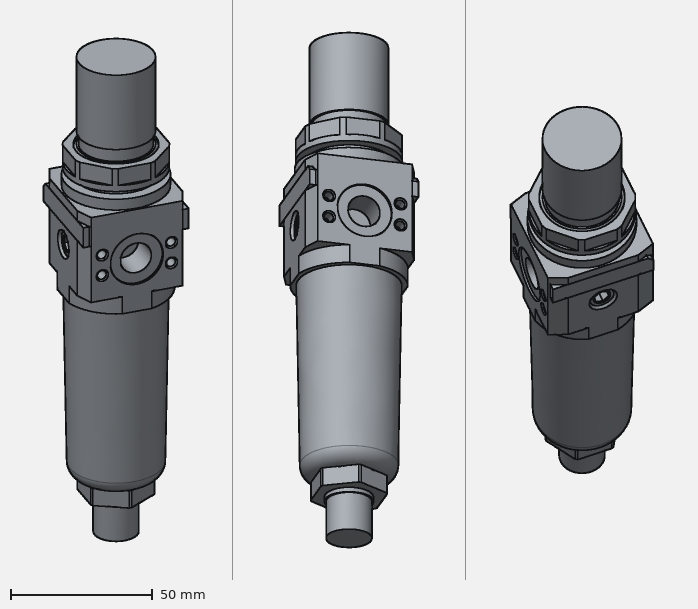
import cadquery as cq
import math


COLLAR_BOTTOM = 14.2
HEX_BOTTOM = 15.9
BOWL_BOTTOM = 22.7
BOWL_TOP = 97.3
BLOCK_BOTTOM = 104.1
BLOCK_TOP = 138.0
BONNET_TOP = 142.3
NUT_BOTTOM = 145.2
FLATS_BOTTOM = 147.6
NUT_TOP = 154.2
KNOB_BOTTOM = 159.3
TOTAL_HEIGHT = 189.0

BLOCK_WIDTH = 40.0
HALF_WIDTH = BLOCK_WIDTH / 2
CORNER_CUT_X = 6.6
CORNER_CUT_Y = 2.6
SKIRT_RADIUS = 20.8

BONNET_RADIUS = 19.3
SLEEVE_RADIUS = 15.1
SLEEVE_CHAMFER = 1.1
NUT_RADIUS = 18.9
NUT_ACROSS_FLATS = 35.7
NUT_SIDES = 8
KNOB_RADIUS = 14.0
NECK_RADIUS = 13.2

BOWL_TOP_RADIUS = 18.7
BOWL_BOTTOM_RADIUS = 17.4
BOWL_FILLET = 5.7
HEX_SIDES = 6
HEX_ACROSS_FLATS = 24.4
HEX_CORNER_RADIUS = 13.8
COLLAR_RADIUS = 8.7
DRAIN_RADIUS = 8.1

PORT_HEIGHT = 118.1
PORT_RADIUS = 5.9
PORT_DEPTH = 13.2
PORT_RECESS_RADIUS = 10.0
PORT_RECESS_DEPTH = 1.0
BOLT_SPACING_Y = 26.3
BOLT_SPACING_Z = 8.1
BOLT_RADIUS = 1.7
BOLT_RIM_RADIUS = 2.3
BOLT_DEPTH = 5.7
DRILL_POINT_ANGLE = 118.0
PLUG_RIM_RADIUS = 5.3
PLUG_SEAT_RADIUS = 4.5
PLUG_SEAT_DEPTH = 1.1
PLUG_MOUTH_RADIUS = 3.2
PLUG_MOUTH_DEPTH = 1.5
SOCKET_ACROSS_FLATS = 5.1
SOCKET_DEPTH = 5.7
SOCKET_TURN = 10.0

PLATE_LENGTH = 38.4
PLATE_HEIGHT = 8.0
PLATE_THICKNESS = 2.8
PLATE_TOP = 134.0
PLATE_CORNER_CUT = 2.0


def disc(radius, bottom, top):
    """Cylinder on the Z axis between two heights."""
    return cq.Workplane("XY", origin=(0, 0, bottom)).circle(radius).extrude(top - bottom)


def clipped_polygon(sides, across_flats, corner_radius, bottom, top):
    """Polygon prism with a flat facing -Y and its corners turned down to a radius."""
    flats = (
        cq.Workplane("XY", origin=(0, 0, bottom))
        .transformed(rotate=(0, 0, 90))
        .polygon(sides, across_flats, circumscribed=True)
        .extrude(top - bottom)
    )
    return flats.intersect(disc(corner_radius, bottom, top))


def turned(profile):
    """Solid turned about Z from (radius, height) points."""
    return cq.Workplane("XZ").polyline(profile).close().revolve(360, (0, 0, 0), (0, 1, 0))


def into_left_face(cutter, y, z):
    """Turn a cutter that points up from Z = 0 to enter the -X face at the given place."""
    return cutter.rotate((0, 0, 0), (0, 1, 0), 90).translate((-HALF_WIDTH, y, z))


def into_front_face(cutter, x, z):
    """Turn a cutter that points up from Z = 0 to enter the -Y face at the given place."""
    return cutter.rotate((0, 0, 0), (1, 0, 0), -90).translate((x, -HALF_WIDTH, z))


def block():
    """Square block with cut corners above a round skirt that keeps a flat tab on each side."""
    square = cq.Workplane("XY", origin=(0, 0, BOWL_TOP)).rect(BLOCK_WIDTH, BLOCK_WIDTH)
    skirt = square.extrude(BLOCK_BOTTOM - BOWL_TOP).intersect(disc(SKIRT_RADIUS, BOWL_TOP, BLOCK_BOTTOM))
    edge_x = HALF_WIDTH - CORNER_CUT_X
    edge_y = HALF_WIDTH - CORNER_CUT_Y
    outline = [
        (-edge_x, -HALF_WIDTH),
        (edge_x, -HALF_WIDTH),
        (HALF_WIDTH, -edge_y),
        (HALF_WIDTH, edge_y),
        (edge_x, HALF_WIDTH),
        (-edge_x, HALF_WIDTH),
        (-HALF_WIDTH, edge_y),
        (-HALF_WIDTH, -edge_y),
    ]
    upper = (
        cq.Workplane("XY", origin=(0, 0, BLOCK_BOTTOM))
        .polyline(outline)
        .close()
        .extrude(BLOCK_TOP - BLOCK_BOTTOM)
    )
    return upper.union(skirt)


def regulator_top():
    """Bonnet, chamfered sleeve with the panel nut around it, and knob."""
    bonnet = disc(BONNET_RADIUS, BLOCK_TOP, BONNET_TOP)
    sleeve = disc(SLEEVE_RADIUS, BONNET_TOP, NUT_TOP).faces(">Z").chamfer(SLEEVE_CHAMFER)
    flange = disc(NUT_RADIUS, NUT_BOTTOM, FLATS_BOTTOM)
    flats = clipped_polygon(NUT_SIDES, NUT_ACROSS_FLATS, NUT_RADIUS, FLATS_BOTTOM, NUT_TOP)
    nut = flange.union(flats).cut(disc(SLEEVE_RADIUS, NUT_BOTTOM, NUT_TOP))
    neck = disc(NECK_RADIUS, NUT_TOP, KNOB_BOTTOM)
    knob = disc(KNOB_RADIUS, KNOB_BOTTOM, TOTAL_HEIGHT)
    return bonnet.union(sleeve).union(nut).union(neck).union(knob)


def bowl():
    """Tapered bowl with a rounded bottom edge."""
    profile = [
        (0, BOWL_BOTTOM),
        (BOWL_BOTTOM_RADIUS, BOWL_BOTTOM),
        (BOWL_TOP_RADIUS, BOWL_TOP),
        (0, BOWL_TOP),
    ]
    return turned(profile).faces("<Z").edges().fillet(BOWL_FILLET)


def drain():
    """Hexagon, collar and spigot under the bowl."""
    hexagon = clipped_polygon(HEX_SIDES, HEX_ACROSS_FLATS, HEX_CORNER_RADIUS, HEX_BOTTOM, BOWL_BOTTOM)
    collar = disc(COLLAR_RADIUS, COLLAR_BOTTOM, HEX_BOTTOM)
    spigot = disc(DRAIN_RADIUS, 0, COLLAR_BOTTOM)
    return hexagon.union(collar).union(spigot)


def pipe_port():
    """Pipe port: a bore in a shallow round recess."""
    recess = disc(PORT_RECESS_RADIUS, 0, PORT_RECESS_DEPTH)
    bore = disc(PORT_RADIUS, 0, PORT_DEPTH)
    return into_left_face(recess.union(bore), 0, PORT_HEIGHT)


def bolt_hole(y, z):
    """Countersunk bolt hole with a drill point."""
    rim_depth = BOLT_RIM_RADIUS - BOLT_RADIUS
    point_depth = BOLT_RADIUS / math.tan(math.radians(DRILL_POINT_ANGLE / 2))
    profile = [
        (0, 0),
        (BOLT_RIM_RADIUS, 0),
        (BOLT_RADIUS, rim_depth),
        (BOLT_RADIUS, BOLT_DEPTH),
        (0, BOLT_DEPTH + point_depth),
    ]
    return into_left_face(turned(profile), y, z)


def gauge_plug():
    """Plug in the gauge port: a tapered rim, a short round mouth and a hexagon socket."""
    profile = [
        (0, 0),
        (PLUG_RIM_RADIUS, 0),
        (PLUG_SEAT_RADIUS, PLUG_SEAT_DEPTH),
        (0, PLUG_SEAT_DEPTH),
    ]
    mouth = disc(PLUG_MOUTH_RADIUS, 0, PLUG_MOUTH_DEPTH)
    socket = (
        cq.Workplane("XY")
        .transformed(rotate=(0, 0, SOCKET_TURN))
        .polygon(HEX_SIDES, SOCKET_ACROSS_FLATS, circumscribed=True)
        .extrude(SOCKET_DEPTH)
    )
    return into_front_face(turned(profile).union(mouth).union(socket), 0, PORT_HEIGHT)


def name_plates():
    """Front and back name plates, each with its upper -X corner cut off."""
    front = (
        cq.Workplane("XY")
        .box(PLATE_LENGTH, PLATE_THICKNESS, PLATE_HEIGHT)
        .translate((0, (PLATE_THICKNESS - BLOCK_WIDTH) / 2, PLATE_TOP - PLATE_HEIGHT / 2))
        .edges("|Y and <X and >Z")
        .chamfer(PLATE_CORNER_CUT)
    )
    return [front, front.mirror("XZ")]


def housing(plates):
    """Everything but the name plates: one solid with the ports and the plate recesses cut."""
    solid = block().union(regulator_top()).union(bowl()).union(drain())
    left_cuts = [pipe_port()]
    for side_y in (-1, 1):
        for side_z in (-1, 1):
            hole_y = side_y * BOLT_SPACING_Y / 2
            hole_z = PORT_HEIGHT + side_z * BOLT_SPACING_Z / 2
            left_cuts.append(bolt_hole(hole_y, hole_z))
    for cut in left_cuts:
        solid = solid.cut(cut).cut(cut.mirror("YZ"))
    plug = gauge_plug()
    solid = solid.cut(plug).cut(plug.mirror("XZ"))
    for plate in plates:
        solid = solid.cut(plate)
    return solid


plates = name_plates()
main_body = housing(plates)
result = cq.Compound.makeCompound([main_body.val()] + [plate.val() for plate in plates])